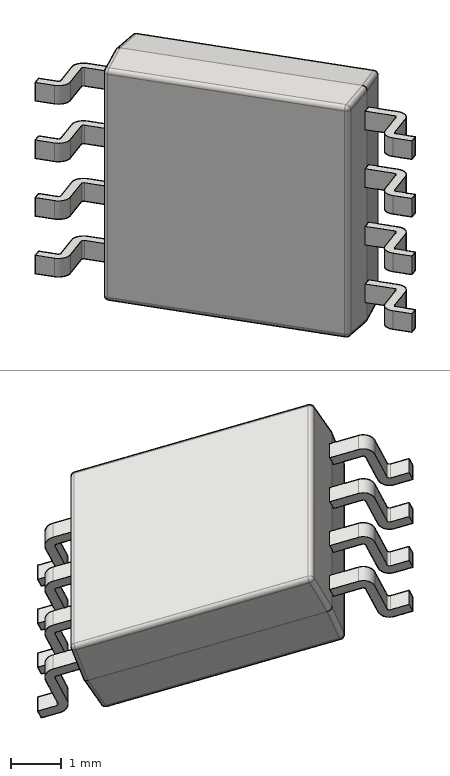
import cadquery as cq
import math

BODY_LENGTH = 5.28
BODY_HEIGHT = 5.23
BODY_THICKNESS = 1.8
DRAFT_ANGLE = 4.0
EDGE_RADIUS = 0.1

LEAD_SPAN = 7.9
LEAD_COUNT = 4
LEAD_PITCH = 1.27
LEAD_WIDTH = 0.41
LEAD_THICKNESS = 0.2
INNER_BEND_RADIUS = 0.05
FOOT_LENGTH = 0.45
STANDOFF = 0.15
LEAD_EMBED = 0.3

HALF_THICKNESS = BODY_THICKNESS / 2
OUTER_BEND_RADIUS = INNER_BEND_RADIUS + LEAD_THICKNESS


def make_body_half(side):
    """Drafted block growing from the parting plane toward +Y (side=1) or -Y (side=-1)."""
    inset = HALF_THICKNESS * math.tan(math.radians(DRAFT_ANGLE))
    return (
        cq.Workplane("XZ")
        .rect(BODY_LENGTH, BODY_HEIGHT)
        .workplane(offset=-side * HALF_THICKNESS)
        .rect(BODY_LENGTH - 2 * inset, BODY_HEIGHT - 2 * inset)
        .loft(ruled=True)
    )


def make_body():
    """Both halves joined, with the flat faces' rims and the four corners rounded."""
    body = make_body_half(1).union(make_body_half(-1))
    corners_and_rims = body.edges("not(#Y)").add(body.faces("<Y or >Y").edges())
    return corners_and_rims.fillet(EDGE_RADIUS)


def make_lead():
    """One lead on the +X side, centred on Z = 0."""
    tip_x = LEAD_SPAN / 2
    riser_outer_x = tip_x - FOOT_LENGTH
    riser_inner_x = riser_outer_x - LEAD_THICKNESS
    root_x = BODY_LENGTH / 2 - LEAD_EMBED
    shoulder_top_y = LEAD_THICKNESS / 2
    shoulder_bottom_y = -LEAD_THICKNESS / 2
    foot_bottom_y = -HALF_THICKNESS - STANDOFF
    foot_top_y = foot_bottom_y + LEAD_THICKNESS

    lead = (
        cq.Workplane("XY")
        .moveTo(root_x, shoulder_top_y)
        .lineTo(riser_outer_x, shoulder_top_y)
        .lineTo(riser_outer_x, foot_top_y)
        .lineTo(tip_x, foot_top_y)
        .lineTo(tip_x, foot_bottom_y)
        .lineTo(riser_inner_x, foot_bottom_y)
        .lineTo(riser_inner_x, shoulder_bottom_y)
        .lineTo(root_x, shoulder_bottom_y)
        .close()
        .extrude(LEAD_WIDTH / 2, both=True)
    )
    bends = (
        (riser_outer_x, shoulder_top_y, OUTER_BEND_RADIUS),
        (riser_inner_x, shoulder_bottom_y, INNER_BEND_RADIUS),
        (riser_outer_x, foot_top_y, INNER_BEND_RADIUS),
        (riser_inner_x, foot_bottom_y, OUTER_BEND_RADIUS),
    )
    for x, y, radius in bends:
        lead = lead.edges(cq.selectors.NearestToPointSelector((x, y, 0))).fillet(radius)
    return lead


def add_leads(body):
    """Evenly spaced leads on both X sides of the body."""
    right_lead = make_lead()
    left_lead = right_lead.mirror("YZ")
    first_z = -LEAD_PITCH * (LEAD_COUNT - 1) / 2
    for index in range(LEAD_COUNT):
        offset = (0, 0, first_z + index * LEAD_PITCH)
        body = body.union(right_lead.translate(offset))
        body = body.union(left_lead.translate(offset))
    return body


result = add_leads(make_body())